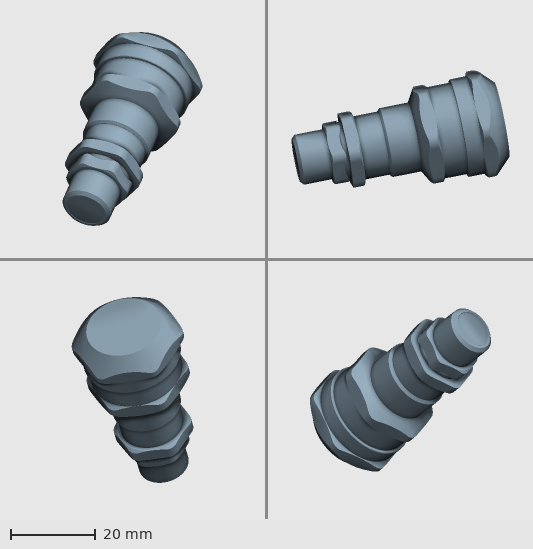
import cadquery as cq
import math

LENGTH = 49.7

THREAD_RADIUS = 12.05 / 2
THREAD_CHAMFER = 0.8
RECESS_RADIUS = 4.6
RECESS_FLOOR_RADIUS = 4.45
RECESS_DEPTH = 0.15

LOCKNUT_FRONT = 7.7
GLAND_FRONT = 12.0
NECK_FRONT = 15.05
BARREL_FRONT = 21.15
BODY_CONE_FRONT = 28.7
BODY_HEX_REAR = 33.75
COLLAR_FRONT = 39.3
CAP_FRONT = 43.4

NECK_RADIUS = 15.2 / 2
BARREL_RADIUS = 16.6 / 2
BARREL_CHAMFER = 0.65
BODY_RADIUS = 22.0 / 2
COLLAR_RADIUS = 23.5 / 2
COLLAR_CHAMFER = 0.15

LOCKNUT_APOTHEM = 6.95
GLAND_APOTHEM = 8.5
CAP_APOTHEM = 24.0 / 2
LOCKNUT_CORNER = 2.4
HEX_CORNER = 3.0

CHAMFER_SLOPE = math.tan(math.radians(30))
CAP_FRONT_SLOPE = math.tan(math.radians(20))
CAP_REAR_SLOPE = math.tan(math.radians(45))
CAP_END_RADIUS = 9.05

SEAT_RADIUS = 6.95
SEAT_ROUNDING = 0.8
SEAT_STRAIGHT = 0.65
GROOVE_WALL_RADIUS = 6.8


def revolve(profile):
    """Turn (radius, station) points about the Y axis into a solid."""
    return cq.Workplane("XY").polyline(profile).close().revolve(360, (0, 0, 0), (0, 1, 0))


def cylinder(radius, front, rear):
    return revolve([(0, front), (radius, front), (radius, rear), (0, rear)])


def hexagon(apothem, corner, front, rear):
    """Hexagonal prism along Y with flats facing +Z and -Z and rounded corners."""
    across_corners = 2 * apothem / math.cos(math.radians(30))
    prism = cq.Workplane("XZ", origin=(0, front, 0)).polygon(6, across_corners).extrude(front - rear)
    return prism.edges("|Y").fillet(corner)


def trimmed_hexagon(apothem, corner, front, rear, front_cone=None, rear_cone=None):
    """Hexagon with its corners cut by cones given as (end radius, slope)."""
    length = rear - front
    solid = hexagon(apothem, corner, front, rear)
    if front_cone:
        radius, slope = front_cone
        solid = solid.intersect(revolve([
            (0, front), (radius, front), (radius + length / slope, rear), (0, rear),
        ]))
    if rear_cone:
        radius, slope = rear_cone
        solid = solid.intersect(revolve([
            (0, rear), (radius, rear), (radius + length / slope, front), (0, front),
        ]))
    return solid


def threaded_end():
    thread = cylinder(THREAD_RADIUS, 0, LOCKNUT_FRONT).faces("<Y").chamfer(THREAD_CHAMFER)
    recess = revolve([
        (0, 0), (RECESS_RADIUS, 0), (RECESS_FLOOR_RADIUS, RECESS_DEPTH), (0, RECESS_DEPTH),
    ])
    return thread.cut(recess)


def seat_groove():
    """Ring in front of the gland hexagon: rounded seat inside, flat floor, sloped wall outside."""
    rounding_start = GLAND_FRONT - SEAT_STRAIGHT
    floor = rounding_start - SEAT_ROUNDING
    rise = GLAND_FRONT - floor
    return (
        cq.Workplane("XY")
        .moveTo(SEAT_RADIUS, GLAND_FRONT)
        .lineTo(SEAT_RADIUS, rounding_start)
        .radiusArc((SEAT_RADIUS - SEAT_ROUNDING, floor), SEAT_ROUNDING)
        .lineTo(GROOVE_WALL_RADIUS, floor)
        .lineTo(GROOVE_WALL_RADIUS + rise, GLAND_FRONT)
        .close()
        .revolve(360, (0, 0, 0), (0, 1, 0))
    )


def locknut():
    nut = trimmed_hexagon(
        LOCKNUT_APOTHEM, LOCKNUT_CORNER, LOCKNUT_FRONT, GLAND_FRONT,
        front_cone=(LOCKNUT_APOTHEM, CHAMFER_SLOPE),
    )
    return nut.cut(seat_groove())


def gland_hexagon():
    return trimmed_hexagon(
        GLAND_APOTHEM, HEX_CORNER, GLAND_FRONT, NECK_FRONT,
        rear_cone=(GLAND_APOTHEM, CHAMFER_SLOPE),
    )


def barrel():
    section = cylinder(BARREL_RADIUS, BARREL_FRONT, BODY_CONE_FRONT)
    return section.faces("<Y").chamfer(BARREL_CHAMFER)


def body_hexagon():
    return trimmed_hexagon(
        BODY_RADIUS, HEX_CORNER, BODY_CONE_FRONT, BODY_HEX_REAR,
        front_cone=(BARREL_RADIUS, CHAMFER_SLOPE),
        rear_cone=(BODY_RADIUS, CHAMFER_SLOPE),
    )


def collar():
    return cylinder(COLLAR_RADIUS, COLLAR_FRONT, CAP_FRONT).faces("<Y").chamfer(COLLAR_CHAMFER)


def cap():
    return trimmed_hexagon(
        CAP_APOTHEM, HEX_CORNER, CAP_FRONT, LENGTH,
        front_cone=(CAP_APOTHEM, CAP_FRONT_SLOPE),
        rear_cone=(CAP_END_RADIUS, CAP_REAR_SLOPE),
    )


result = (
    threaded_end()
    .union(locknut())
    .union(gland_hexagon())
    .union(cylinder(NECK_RADIUS, NECK_FRONT, BARREL_FRONT))
    .union(barrel())
    .union(body_hexagon())
    .union(cylinder(BODY_RADIUS, BODY_HEX_REAR, COLLAR_FRONT))
    .union(collar())
    .union(cap())
)